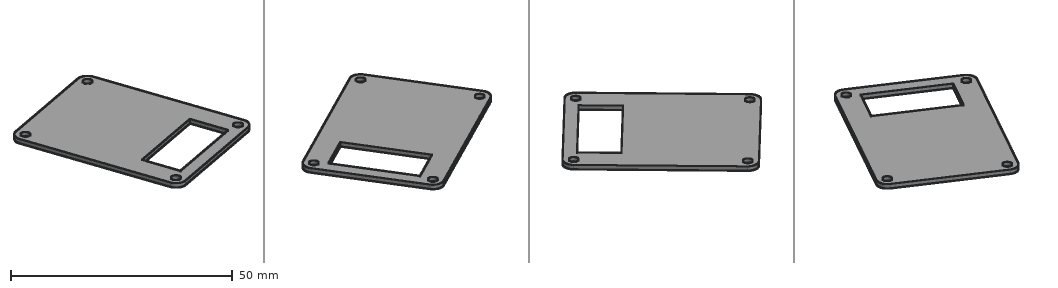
import cadquery as cq

length = 44.45
width = 33.02
thickness = 1.19
corner_radius = 2.54

hole_diameter = 2.2
hole_spacing_x = length - 2 * corner_radius
hole_spacing_y = width - 2 * corner_radius

window_length = 10.0
window_width = 21.5
window_centre_x = 13.97


def make_plate():
    """Flat plate with rounded corners, resting on Z = 0."""
    plate = cq.Workplane("XY").box(length, width, thickness, centered=(True, True, False))
    return plate.edges("|Z").fillet(corner_radius)


def cut_mounting_holes(body):
    """One through hole in each corner."""
    holes = body.faces(">Z").workplane(origin=(0, 0, thickness))
    holes = holes.rect(hole_spacing_x, hole_spacing_y, forConstruction=True).vertices()
    return holes.hole(hole_diameter)


def cut_window(body):
    """Sharp-cornered opening through the plate."""
    window = cq.Workplane("XY").center(window_centre_x, 0).rect(window_length, window_width)
    return body.cut(window.extrude(thickness))


result = cut_window(cut_mounting_holes(make_plate()))